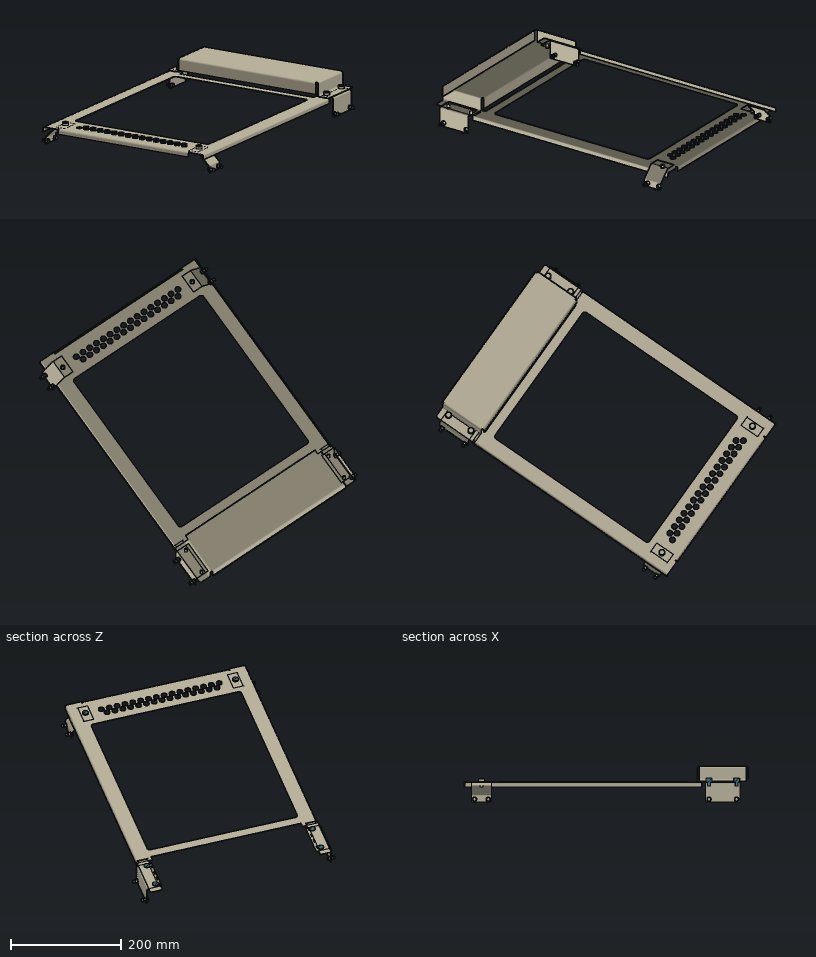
import cadquery as cq
import math

SHEET = 1.5
BEND_OUTER = 3.85
BEND_INNER = BEND_OUTER - SHEET

LENGTH = 515.0
HEIGHT = 65.5
REAR_Y = LENGTH / 2
FRONT_Y = -LENGTH / 2
TOP_Z = HEIGHT / 2
BOTTOM_Z = -HEIGHT / 2

FRAME_HALF_WIDTH = 172.0
FRAME_REAR_Y = 173.0
REAR_NOTCH_Y = 164.5
REAR_NOTCH_HALF_WIDTH = 142.5
FRAME_TOP_Z = 4.5
FRAME_LIP_Z = -5.0
FRONT_LIP_HALF_WIDTH = 139.0
LIP_RELIEF = 1.5
WINDOW_HALF_WIDTH = 142.5
WINDOW_FRONT_Y = -195.0
WINDOW_REAR_Y = 146.5
WINDOW_RADIUS = 5.0

VENT_DIAMETER = 10.5
VENT_PITCH = 15.0
VENT_ROWS = ((16, -227.5), (15, -217.0))

COVER_LENGTH = 92.5
COVER_MID_Y = REAR_Y - COVER_LENGTH / 2
COVER_HALF_WIDTH = 150.5
SKIRT_HALF_WIDTH = 146.5
COVER_SKIRT_Z = 10.0
FOOT_TOP_Z = FRAME_TOP_Z + SHEET
FOOT_CORNER_RADIUS = 3.5

BRACKET_X = 175.5
BRACKET_CORNER_RADIUS = 2.5
REAR_BRACKET_WIDTH = 63.0
REAR_BRACKET_INNER_X = 147.0
FRONT_BRACKET_MID_Y = -226.0
FRONT_BRACKET_WIDTH = 36.5
FRONT_BRACKET_TOP_Z = FRAME_TOP_Z - SHEET
FRONT_BRACKET_INNER_X = 133.0
SLOPE_BOTTOM_Z = -19.5
SLOPE_TOP_X = BRACKET_X - (FRONT_BRACKET_TOP_Z - SLOPE_BOTTOM_Z)

PIN_RADIUS = 2.85
RING_THICKNESS = 1.0
SCREW_HEAD_RADIUS = 5.5
SCREW_HEAD_HEIGHT = 5.4
SCREW_RING_RADIUS = 4.4
SCREW_RING_DEPTH = 5.0
SCREW_DEPTH = FRAME_TOP_Z - FRAME_LIP_Z
SCREW_CHAMFER = 1.0
FRONT_SCREW_X = 142.5
REAR_SCREW_X = 157.0
REAR_SCREW_PITCH = 50.0
STUD_HEAD_RADIUS = 4.0
STUD_HEAD_HEIGHT = 3.85
STUD_TIP_X = 184.0
STUD_RING_RADIUS = 3.5
STUD_RING_GAP = 4.0
STUD_CHAMFER = 1.0
STUD_Z = -27.5
FRONT_STUD_PITCH = 24.5
REAR_STUD_PITCH = REAR_SCREW_PITCH


def unit_vector(start, end):
    length = math.dist(start, end)
    return (end[0] - start[0]) / length, (end[1] - start[1]) / length


def folded_strip(plane, path, start, end):
    """Sheet bent along path, thickened to the right of travel, spanning start to end on the plane normal."""
    directions = [unit_vector(a, b) for a, b in zip(path, path[1:])]
    before = [directions[0]] + directions
    after = directions + [directions[-1]]
    inner = []
    for (x, z), (ax, az), (bx, bz) in zip(path, before, after):
        reach = SHEET / (1 + ax * bx + az * bz)
        inner.append((x + reach * (az + bz), z - reach * (ax + bx)))

    outline = cq.Workplane(plane).workplane(offset=start).polyline(path + inner[::-1]).close()
    strip = outline.extrude(end - start)
    middle = (start + end) / 2
    reference = cq.Plane.named(plane)
    for i in range(1, len(path) - 1):
        (ax, az), (bx, bz) = before[i], after[i]
        turns_right = ax * bz - az * bx < 0
        path_radius = BEND_OUTER if turns_right else BEND_INNER
        inner_radius = BEND_INNER if turns_right else BEND_OUTER
        for (x, z), radius in ((path[i], path_radius), (inner[i], inner_radius)):
            corner = reference.toWorldCoords((x, z, middle))
            strip = strip.edges(cq.selectors.NearestToPointSelector(corner.toTuple())).fillet(radius)
    return strip


def strip_across_x(path, front_y, rear_y):
    """Strip with an XZ section running from front_y to rear_y."""
    return folded_strip("XZ", path, -rear_y, -front_y)


def strip_across_y(path, half_width):
    """Strip with a YZ section, centred on X = 0."""
    return folded_strip("YZ", path, -half_width, half_width)


def mirrored_path(half):
    """Complete a left-hand path with its mirror image in X = 0."""
    return half + [(-x, z) for x, z in reversed(half)]


def both_sides(left):
    return left.union(left.mirror("YZ"))


def pair_about(middle, pitch):
    return middle - pitch / 2, middle + pitch / 2


def make_frame():
    edge_path = mirrored_path([(-FRAME_HALF_WIDTH, FRAME_LIP_Z), (-FRAME_HALF_WIDTH, FRAME_TOP_Z)])
    frame = strip_across_x(edge_path, FRONT_Y, FRAME_REAR_Y)

    bend_line_y = FRONT_Y + BEND_OUTER
    relief_width = 2 * (FRONT_LIP_HALF_WIDTH + LIP_RELIEF)
    relief = cq.Workplane("XY").box(relief_width, 2 * BEND_OUTER, HEIGHT).translate((0, FRONT_Y, 0))
    lip_path = [(FRONT_Y, FRAME_LIP_Z), (FRONT_Y, FRAME_TOP_Z), (bend_line_y + SHEET, FRAME_TOP_Z)]
    frame = frame.cut(relief).union(strip_across_y(lip_path, FRONT_LIP_HALF_WIDTH))

    window = (
        cq.Workplane("XY")
        .box(2 * WINDOW_HALF_WIDTH, WINDOW_REAR_Y - WINDOW_FRONT_Y, HEIGHT)
        .edges("|Z")
        .fillet(WINDOW_RADIUS)
        .translate((0, (WINDOW_REAR_Y + WINDOW_FRONT_Y) / 2, 0))
    )
    rear_notch = (
        cq.Workplane("XY")
        .box(2 * REAR_NOTCH_HALF_WIDTH, 2 * (FRAME_REAR_Y - REAR_NOTCH_Y), HEIGHT)
        .translate((0, FRAME_REAR_Y, 0))
    )
    frame = frame.cut(window).cut(rear_notch)

    for count, row_y in VENT_ROWS:
        vents = (
            cq.Workplane("XY")
            .center(0, row_y)
            .rarray(VENT_PITCH, 5, count, 1)
            .circle(VENT_DIAMETER / 2)
            .extrude(HEIGHT, both=True)
        )
        frame = frame.cut(vents)
    return frame


def make_cover():
    rear_bend_y = REAR_Y - BEND_OUTER
    front_y = REAR_Y - COVER_LENGTH
    front_bend_y = front_y + BEND_OUTER
    end_path = mirrored_path([
        (-FRAME_HALF_WIDTH, FOOT_TOP_Z),
        (-COVER_HALF_WIDTH, FOOT_TOP_Z),
        (-COVER_HALF_WIDTH, TOP_Z),
    ])
    ends = strip_across_x(end_path, front_bend_y, rear_bend_y)
    for side in ("<X", ">X"):
        ends = ends.faces(side).edges("|Z").fillet(FOOT_CORNER_RADIUS)

    skirt_path = [(front_y, COVER_SKIRT_Z), (front_y, TOP_Z), (REAR_Y, TOP_Z), (REAR_Y, COVER_SKIRT_Z)]
    skirts = strip_across_y(skirt_path, SKIRT_HALF_WIDTH)
    return ends.union(skirts)


def make_bracket(upper_path, middle_y, width):
    """Left bracket: upright plate up to the first point of upper_path, then along that path."""
    path = [(-BRACKET_X, BOTTOM_Z)] + upper_path
    bracket = strip_across_x(path, middle_y - width / 2, middle_y + width / 2)
    return bracket.faces("<Z").edges("|X").fillet(BRACKET_CORNER_RADIUS)


def make_fastener(head_radius, head_height, chamfer, pin_length):
    """Fastener along Z: chamfered head above Z = 0, pin below."""
    head = cq.Workplane("XY").circle(head_radius).extrude(head_height).faces(">Z").chamfer(chamfer)
    pin = cq.Workplane("XY").circle(PIN_RADIUS).extrude(-pin_length)
    return head.union(pin)


def make_ring(radius, depth):
    """Retaining ring around a fastener pin, at a depth below Z = 0."""
    return cq.Workplane("XY").workplane(offset=-depth).circle(radius).extrude(-RING_THICKNESS)


def make_screw():
    return make_fastener(SCREW_HEAD_RADIUS, SCREW_HEAD_HEIGHT, SCREW_CHAMFER, SCREW_DEPTH)


def make_stud(y):
    """Left stud: head inside the bracket, pin pointing outward."""
    seat_x = BRACKET_X - SHEET
    pin_length = STUD_TIP_X - seat_x
    ring_depth = pin_length - STUD_RING_GAP
    stud = make_fastener(STUD_HEAD_RADIUS, STUD_HEAD_HEIGHT, STUD_CHAMFER, pin_length)
    stud = stud.union(make_ring(STUD_RING_RADIUS, ring_depth))
    return stud.rotate((0, 0, 0), (0, 1, 0), 90).translate((-seat_x, y, STUD_Z))


rear_bracket = make_bracket(
    [(-BRACKET_X, FRAME_TOP_Z), (-REAR_BRACKET_INNER_X, FRAME_TOP_Z)],
    COVER_MID_Y,
    REAR_BRACKET_WIDTH,
)
front_bracket = make_bracket(
    [
        (-BRACKET_X, SLOPE_BOTTOM_Z),
        (-SLOPE_TOP_X, FRONT_BRACKET_TOP_Z),
        (-FRONT_BRACKET_INNER_X, FRONT_BRACKET_TOP_Z),
    ],
    FRONT_BRACKET_MID_Y,
    FRONT_BRACKET_WIDTH,
)

left_hardware = rear_bracket.union(front_bracket)
front_screw = make_screw().union(make_ring(SCREW_RING_RADIUS, SCREW_RING_DEPTH))
front_screw = front_screw.translate((-FRONT_SCREW_X, FRONT_BRACKET_MID_Y, FRAME_TOP_Z))
left_hardware = left_hardware.union(front_screw)
for screw_y in pair_about(COVER_MID_Y, REAR_SCREW_PITCH):
    rear_screw = make_screw().translate((-REAR_SCREW_X, screw_y, FOOT_TOP_Z))
    left_hardware = left_hardware.union(rear_screw)
for stud_y in (
    *pair_about(COVER_MID_Y, REAR_STUD_PITCH),
    *pair_about(FRONT_BRACKET_MID_Y, FRONT_STUD_PITCH),
):
    left_hardware = left_hardware.union(make_stud(stud_y))

result = make_frame().union(make_cover()).union(both_sides(left_hardware))